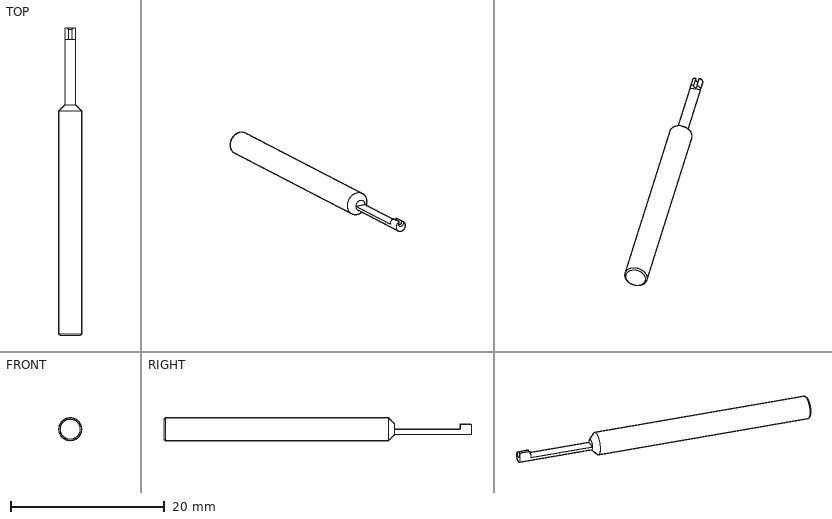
import cadquery as cq

total_length = 40.0
shank_radius = 1.5
rear_chamfer = 0.2

neck_length = 10.0
neck_radius = 0.7
head_length = 1.5
slot_width = 0.4
slot_floor_z = 0.2
mouth_chamfer = 0.2
chamfer_angle = 45

rear_y = -total_length
neck_start_y = -neck_length
shoulder_y = neck_start_y - (shank_radius - neck_radius)

slot_axis_z = slot_floor_z + slot_width / 2
slot_top_z = 2 * neck_radius


def make_round_body():
    """Revolve the half profile of the whole tool about the Y axis."""
    profile = [
        (0, rear_y),
        (shank_radius - rear_chamfer, rear_y),
        (shank_radius, rear_y + rear_chamfer),
        (shank_radius, shoulder_y),
        (neck_radius, neck_start_y),
        (neck_radius, 0),
        (0, 0),
    ]
    return cq.Workplane("XY").polyline(profile).close().revolve(360, (0, 0), (0, 1))


def make_neck_flat():
    """Material above the neck axis, between the taper and the head."""
    length = neck_length - head_length
    width = 2 * neck_radius
    block = cq.Workplane("XY").box(width, length, neck_radius, centered=(True, False, False))
    return block.translate((0, neck_start_y, 0))


def slot_profile(radius):
    """U-shaped section about the slot axis, on the tip face and closed above the head."""
    return (
        cq.Workplane("XZ")
        .moveTo(-radius, slot_top_z)
        .lineTo(-radius, slot_axis_z)
        .threePointArc((0, slot_axis_z - radius), (radius, slot_axis_z))
        .lineTo(radius, slot_top_z)
        .close()
    )


def make_head_slot():
    """Round-bottomed slot along the head, with a 45 degree chamfer at the tip."""
    slot = slot_profile(slot_width / 2).extrude(head_length)
    mouth = slot_profile(slot_width / 2 + mouth_chamfer).extrude(mouth_chamfer, taper=chamfer_angle)
    return slot.union(mouth)


result = make_round_body().cut(make_neck_flat()).cut(make_head_slot())